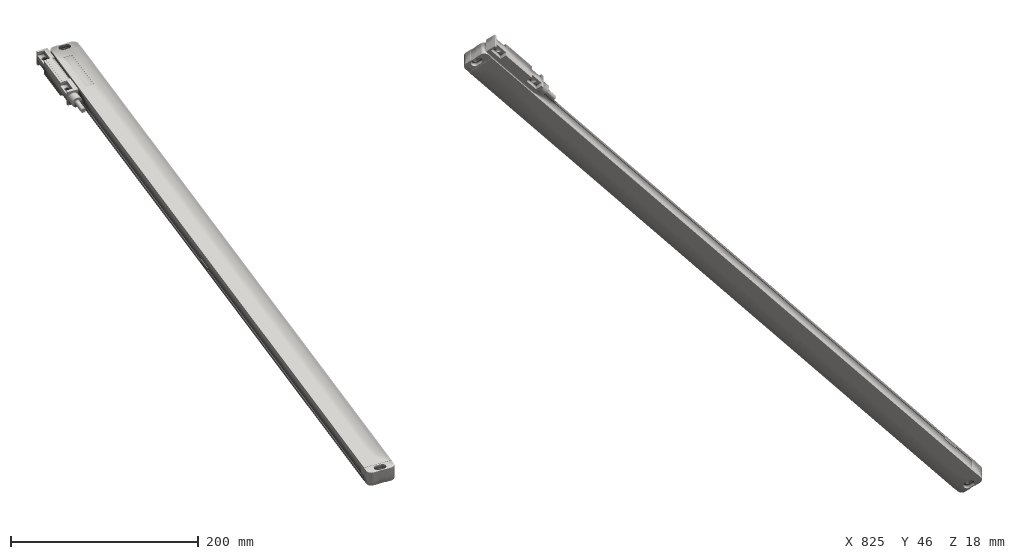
import cadquery as cq

LENGTH = 825.0
HEIGHT = 18.0
TOTAL_WIDTH = 46.0
HOUSING_WIDTH = 32.0
HOUSING_FRONT = TOTAL_WIDTH - HOUSING_WIDTH
HOUSING_MID_Y = HOUSING_FRONT + HOUSING_WIDTH / 2
MID_Z = HEIGHT / 2

CAP_LENGTH = 11.5
CAP_INSET = 0.4
CAP_CORNER_RADIUS = 6.0
CAP_HOLE_X = 6.0
CAP_HOLE_LENGTH = 10.0
CAP_HOLE_WIDTH = 5.0
COUNTERBORE_LENGTH = 14.0
COUNTERBORE_WIDTH = 8.0
COUNTERBORE_DEPTH = 5.0
END_GROOVE_WIDTH = 7.5
END_GROOVE_DEPTH = 0.4

CHANNEL_END_MARGIN = 20.0
CHANNEL_LIP = 3.0
CHANNEL_DEPTH = 1.0
TAB_LENGTH = 18.0
TAB_HEIGHT = 2.5
BOTTOM_TAB_X = 400.0
TOP_TAB_X = 770.0

LABEL_START_X = 22.0
LABEL_LENGTH = 57.0
LABEL_FRONT_Y = 21.5
LABEL_WIDTH = 10.0
LABEL_DEPTH = 0.4

HEAD_LENGTH = 80.0
HEAD_WIDTH = 12.0
POCKET_DEPTH = 5.0
POCKET_WIDTH = 7.5
POCKET_STARTS_X = (2.5, 61.0)
POCKET_LENGTH = 16.0
HEAD_HOLE_DIAMETER = 6.0
HEAD_HOLE_Y = 4.0
RELIEF_START_X = 18.0
RELIEF_LENGTH = 40.5
RELIEF_WIDTH = 2.5
RELIEF_DEPTH = 2.0
FRONT_STEP_WIDTH = 2.5
FRONT_STEP_DEPTH = 0.4

GLAND_DIAMETER = 12.0
GLAND_LENGTH = 10.0
CABLE_DIAMETER = 6.0
CABLE_LENGTH = 16.0
CABLE_Y = 7.0


def block(x, y, z, length, width, height):
    """Box given by its lowest corner and its sizes."""
    return cq.Workplane("XY").box(length, width, height, centered=False).translate((x, y, z))


def rod_along_x(x, diameter, length):
    """Cylinder along X on the cable axis."""
    return cq.Workplane("YZ", origin=(x, CABLE_Y, MID_Z)).circle(diameter / 2).extrude(length)


def cap_slot(length, width, z, height):
    """Upright round-ended slot, long in Y, at the mounting hole of the left cap."""
    outline = cq.Workplane("XY", origin=(CAP_HOLE_X, HOUSING_MID_Y, z)).slot2D(length, width, 90)
    return outline.extrude(height)


def make_end_cap():
    """Left end cap with rounded corners, a counterbored slotted hole and a shallow end groove."""
    cap = block(0, HOUSING_FRONT, CAP_INSET, CAP_LENGTH, HOUSING_WIDTH, HEIGHT - 2 * CAP_INSET)
    cap = cap.edges("|Z and <X").fillet(CAP_CORNER_RADIUS)
    cap = cap.cut(cap_slot(CAP_HOLE_LENGTH, CAP_HOLE_WIDTH, 0, HEIGHT))
    for z in (0, HEIGHT - COUNTERBORE_DEPTH):
        cap = cap.cut(cap_slot(COUNTERBORE_LENGTH, COUNTERBORE_WIDTH, z, COUNTERBORE_DEPTH))
    groove_y = HOUSING_MID_Y - END_GROOVE_WIDTH / 2
    return cap.cut(block(0, groove_y, 0, END_GROOVE_DEPTH, END_GROOVE_WIDTH, HEIGHT))


def make_channel():
    """Shallow front channel, narrowed by one tab on each lip."""
    channel_height = HEIGHT - 2 * CHANNEL_LIP
    channel = block(
        CHANNEL_END_MARGIN,
        HOUSING_FRONT,
        CHANNEL_LIP,
        LENGTH - 2 * CHANNEL_END_MARGIN,
        CHANNEL_DEPTH,
        channel_height,
    )
    top_tab_z = HEIGHT - CHANNEL_LIP - TAB_HEIGHT
    for mid_x, z in ((BOTTOM_TAB_X, CHANNEL_LIP), (TOP_TAB_X, top_tab_z)):
        start_x = mid_x - TAB_LENGTH / 2
        channel = channel.cut(block(start_x, HOUSING_FRONT, z, TAB_LENGTH, CHANNEL_DEPTH, TAB_HEIGHT))
    return channel


def make_housing():
    """Long scale housing with its two end caps."""
    profile = block(CAP_LENGTH, HOUSING_FRONT, 0, LENGTH - 2 * CAP_LENGTH, HOUSING_WIDTH, HEIGHT)
    left_cap = make_end_cap()
    right_cap = left_cap.mirror("YZ", (LENGTH / 2, 0, 0))
    label = block(
        LABEL_START_X, LABEL_FRONT_Y, HEIGHT - LABEL_DEPTH, LABEL_LENGTH, LABEL_WIDTH, LABEL_DEPTH
    )
    return profile.union(left_cap).union(right_cap).cut(make_channel()).cut(label)


def cut_mounting_pockets(head):
    """Front pockets above and below each mounting hole of the head."""
    for start_x in POCKET_STARTS_X:
        for z in (0, HEIGHT - POCKET_DEPTH):
            head = head.cut(block(start_x, 0, z, POCKET_LENGTH, POCKET_WIDTH, POCKET_DEPTH))
        hole_x = start_x + POCKET_LENGTH / 2
        hole = cq.Workplane("XY", origin=(hole_x, HEAD_HOLE_Y, 0)).circle(HEAD_HOLE_DIAMETER / 2)
        head = head.cut(hole.extrude(HEIGHT))
    return head


def make_reading_head():
    """Reading head with mounting pockets, back relief, front step and cable outlet."""
    head = block(0, 0, 0, HEAD_LENGTH, HEAD_WIDTH, HEIGHT)
    head = cut_mounting_pockets(head)
    relief_y = HEAD_WIDTH - RELIEF_WIDTH
    relief_z = HEIGHT - RELIEF_DEPTH
    head = head.cut(
        block(RELIEF_START_X, relief_y, relief_z, RELIEF_LENGTH, RELIEF_WIDTH, RELIEF_DEPTH)
    )
    step_x = POCKET_STARTS_X[0] + POCKET_LENGTH
    step_length = POCKET_STARTS_X[1] - step_x
    step_z = HEIGHT - FRONT_STEP_DEPTH
    head = head.cut(block(step_x, 0, step_z, step_length, FRONT_STEP_WIDTH, FRONT_STEP_DEPTH))
    gland = rod_along_x(HEAD_LENGTH, GLAND_DIAMETER, GLAND_LENGTH)
    cable = rod_along_x(HEAD_LENGTH + GLAND_LENGTH, CABLE_DIAMETER, CABLE_LENGTH)
    return head.union(gland).union(cable)


housing = make_housing()
reading_head = make_reading_head()
result = cq.Compound.makeCompound([housing.val(), reading_head.val()])